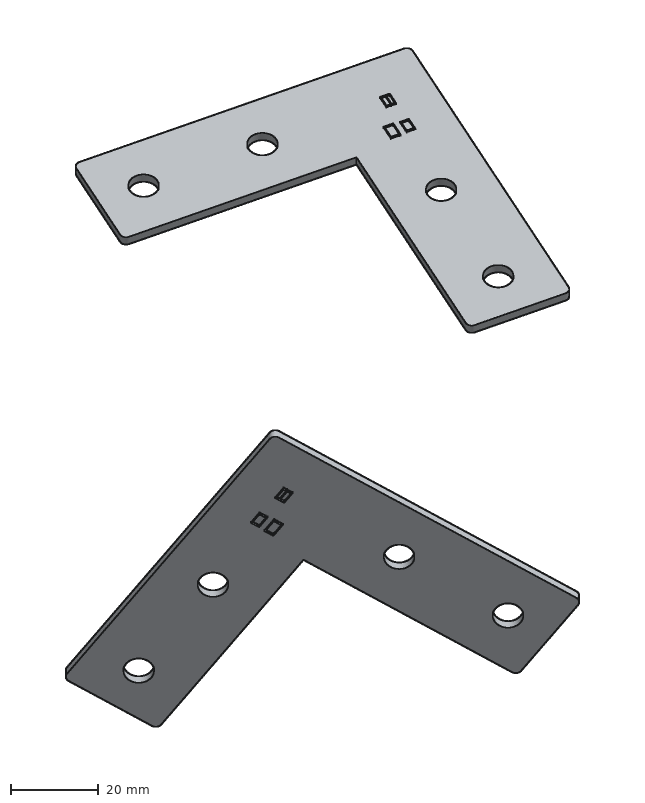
import cadquery as cq


arm_length = 85.0
arm_width = 26.0
thickness = 2.5
corner_radius = 1.5

hole_diameter = 7.0
hole_to_arm_end = 11.5
hole_spacing = 30.0
arm_centre = arm_width / 2
outer_hole = arm_length - hole_to_arm_end
inner_hole = outer_hole - hole_spacing

side_gap = 0.5
end_gap = 0.25

left_window_x = 13.1
left_window_top = -10.5
left_insert_width = 2.55
left_insert_heights = [0.8, 1.0]

right_windows_x = 22.1
upper_window_top = -10.0
upper_insert_width = 2.55
upper_insert_heights = [1.8]
lower_window_top = -13.85
lower_insert_width = 3.1
lower_insert_heights = [2.0]

windows = [
    (left_window_x, left_window_top, left_insert_width, left_insert_heights),
    (right_windows_x, upper_window_top, upper_insert_width, upper_insert_heights),
    (right_windows_x, lower_window_top, lower_insert_width, lower_insert_heights),
]


def block(centre_x, top_y, width, height):
    """Rectangular block through the full plate thickness, hung from its top edge."""
    return (
        cq.Workplane("XY")
        .center(centre_x, top_y - height / 2)
        .rect(width, height)
        .extrude(thickness)
    )


def make_window(centre_x, top_y, insert_width, insert_heights):
    """Opening that surrounds a stack of inserts with their gaps."""
    width = insert_width + 2 * side_gap
    height = sum(insert_heights) + (len(insert_heights) + 1) * end_gap
    return block(centre_x, top_y, width, height)


def make_inserts(centre_x, top_y, insert_width, insert_heights):
    """Separate inserts stacked downwards inside one window."""
    inserts = []
    insert_top = top_y - end_gap
    for height in insert_heights:
        inserts.append(block(centre_x, insert_top, insert_width, height).val())
        insert_top -= height + end_gap
    return inserts


def make_plate():
    """L-shaped plate with rounded outer corners and a sharp inner corner."""
    outline = [
        (0, 0),
        (arm_length, 0),
        (arm_length, -arm_width),
        (arm_width, -arm_width),
        (arm_width, -arm_length),
        (0, -arm_length),
    ]
    inner_corner = cq.selectors.NearestToPointSelector((arm_width, -arm_width, thickness / 2))
    upright_edges = cq.selectors.StringSyntaxSelector("|Z")
    plate = (
        cq.Workplane("XY")
        .polyline(outline)
        .close()
        .extrude(thickness)
        .edges(upright_edges - inner_corner)
        .fillet(corner_radius)
    )

    hole_centres = []
    for distance in (inner_hole, outer_hole):
        hole_centres.append((distance, -arm_centre))
        hole_centres.append((arm_centre, -distance))
    holes = (
        cq.Workplane("XY")
        .pushPoints(hole_centres)
        .circle(hole_diameter / 2)
        .extrude(thickness)
    )
    plate = plate.cut(holes)

    for window in windows:
        plate = plate.cut(make_window(*window))
    return plate


plate = make_plate()

inserts = []
for window in windows:
    inserts.extend(make_inserts(*window))

result = cq.Compound.makeCompound([plate.solids().val(), *inserts])